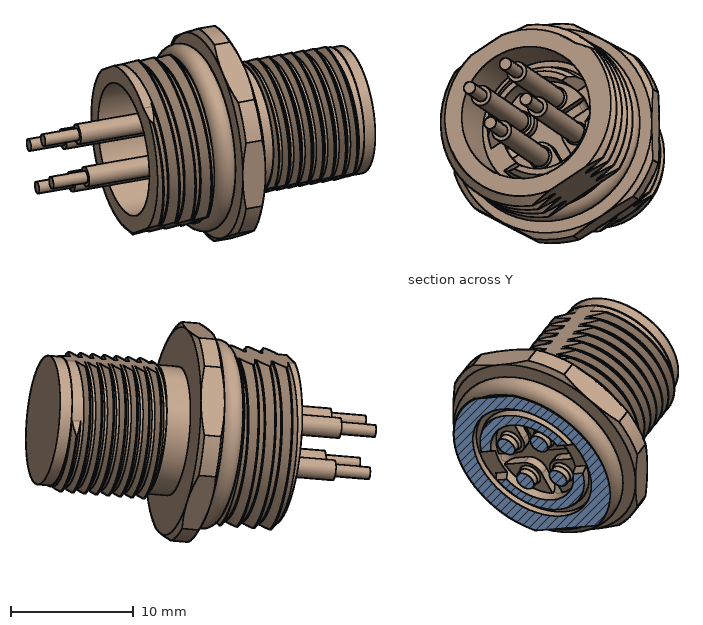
import cadquery as cq
import math


TIP_COLLAR_END = 1.0
FRONT_THREAD_END = 9.0
FLANGE_START = 11.0
FLANGE_END = 13.0
SEAL_END = 15.0
BODY_END = 20.0
INSULATION_END = 24.35
WIRE_END = 27.35
INSERT_FLOOR = 14.5

NECK_RADIUS = 5.275
FRONT_ROOT_RADIUS = 5.35
FRONT_CREST_RADIUS = 5.92
FRONT_PITCH = 1.0
FRONT_BASE_WIDTH = 0.76
FRONT_CREST_Z = 0.85
FRONT_FLAT_DISTANCE = 5.28
FRONT_LEAD_IN_ANGLE = 177
FRONT_LEAD_IN_DISTANCE = 5.04
FRONT_START_ANGLE = 190
FRONT_END_BEVEL = 0.3

REAR_ROOT_RADIUS = 6.95
REAR_CREST_RADIUS = 7.65
REAR_PITCH = 25.4 / 18
REAR_BASE_WIDTH = 1.3
REAR_CREST_Z = 15.4
REAR_FLAT_DISTANCE = 6.78
REAR_LEAD_OUT_ANGLE = 69
REAR_LEAD_OUT_DISTANCE = 6.68
REAR_LEAD_OUT_LENGTH = 0.8
REAR_END_ANGLE = 72
REAR_TURNS = 4 + REAR_END_ANGLE / 360

CREST_WIDTH = 0.1
CREST_CLEARANCE = 0.01
ROOT_OVERLAP = 0.05
FLAT_ANGLE = 120

HEX_ACROSS_FLATS = 17.0
HEX_CORNER_RADIUS = 9.0
HEX_CHAMFER_ANGLE = 30
HEX_HALF_SECTOR = 30

SEAL_SECTION_RADIUS = (SEAL_END - FLANGE_END) / 2
SEAL_OUTER_RADIUS = 7.75

BORE_RADIUS = 5.5
RING_INNER_RADIUS = 3.83
RING_TOP_RADIUS = 4.32
RING_SHOULDER_RADIUS = 4.74
RING_BASE_RADIUS = 5.0
RING_HEIGHT = 1.6
RING_SHOULDER_HEIGHT = 1.1
NOTCH_HALF_WIDTH = 1.11
NOTCH_TOP_HALF_WIDTH = 2.05
NOTCH_ANGLE = 30
CROSS_WIDTH = 1.06
CROSS_DEPTH = 0.8
CROSS_RAMP_RADIUS = 0.799
DECK_RECESS = 0.3
DECK = INSERT_FLOOR - DECK_RECESS

WIRE_CIRCLE_RADIUS = 2.5
WIRE_ANGLES = (75, 165, 255, 345)
CONDUCTOR_RADIUS = 0.5
INSULATION_RADIUS = 0.83
COLLAR_RADIUS = 0.95
COLLAR_HEIGHT = 0.3


def cylinder(radius, start, end):
    return cq.Workplane("XY").workplane(offset=start).circle(radius).extrude(end - start)


def half_space(angle, distance, start, end):
    """Block filling everything beyond a plane that faces the given angle."""
    size = 4 * HEX_CORNER_RADIUS
    block = cq.Workplane("XY").box(size, size, end - start, centered=(False, True, False))
    return block.translate((distance, 0, start)).rotate((0, 0, 0), (0, 0, 1), angle)


def thread_ridge(root, crest, pitch, base_width, start_angle, start_z, height):
    """Right-handed helical ridge whose crest begins at start_angle and start_z."""
    foot = root - ROOT_OVERLAP
    slope = (base_width - CREST_WIDTH) / 2 / (crest - root)
    foot_half = base_width / 2 + slope * ROOT_OVERLAP
    section = [
        (foot, -foot_half),
        (crest, -CREST_WIDTH / 2),
        (crest, CREST_WIDTH / 2),
        (foot, foot_half),
    ]
    path = cq.Workplane(cq.Wire.makeHelix(pitch, height, root))
    ridge = cq.Workplane("XZ").polyline(section).close().sweep(path, isFrenet=True)
    return ridge.rotate((0, 0, 0), (0, 0, 1), start_angle).translate((0, 0, start_z))


def front_thread():
    """Threaded sleeve with two opposite flats and a bevelled last turn."""
    start_z = FRONT_CREST_Z + FRONT_PITCH * FRONT_START_ANGLE / 360
    height = FRONT_THREAD_END + FRONT_PITCH / 2 - start_z
    ridge = thread_ridge(FRONT_ROOT_RADIUS, FRONT_CREST_RADIUS, FRONT_PITCH, FRONT_BASE_WIDTH,
                         FRONT_START_ANGLE, start_z, height)
    lead_in = half_space(FRONT_LEAD_IN_ANGLE, FRONT_LEAD_IN_DISTANCE,
                         0, start_z + FRONT_PITCH / 2)
    band = cylinder(FRONT_CREST_RADIUS + CREST_CLEARANCE, TIP_COLLAR_END, FRONT_THREAD_END)
    band = band.faces(">Z").chamfer(FRONT_END_BEVEL, FRONT_CREST_RADIUS - FRONT_ROOT_RADIUS)
    core = cylinder(FRONT_ROOT_RADIUS, TIP_COLLAR_END, FRONT_THREAD_END)
    thread = core.union(ridge.cut(lead_in).intersect(band))
    for angle in (FLAT_ANGLE, FLAT_ANGLE + 180):
        thread = thread.cut(half_space(angle, FRONT_FLAT_DISTANCE, 0, FRONT_THREAD_END))
    return thread


def rear_thread():
    """Rear body with two opposite flats and the plain neck under the seal ring."""
    start_z = REAR_CREST_Z - REAR_PITCH
    ridge = thread_ridge(REAR_ROOT_RADIUS, REAR_CREST_RADIUS, REAR_PITCH, REAR_BASE_WIDTH,
                         0, start_z, REAR_TURNS * REAR_PITCH)
    lead_out = half_space(REAR_LEAD_OUT_ANGLE, REAR_LEAD_OUT_DISTANCE,
                          BODY_END - REAR_LEAD_OUT_LENGTH, BODY_END + REAR_PITCH)
    band = cylinder(REAR_CREST_RADIUS + CREST_CLEARANCE, SEAL_END, BODY_END)
    core = cylinder(REAR_ROOT_RADIUS, FLANGE_END, BODY_END)
    thread = core.union(ridge.cut(lead_out).intersect(band))
    for angle in (FLAT_ANGLE, FLAT_ANGLE + 180):
        thread = thread.cut(half_space(angle, REAR_FLAT_DISTANCE, SEAL_END, BODY_END))
    return thread


def flange():
    """Hexagon with its corners rounded and chamfered on both faces."""
    hexagon_diameter = HEX_ACROSS_FLATS / math.cos(math.radians(HEX_HALF_SECTOR))
    thickness = FLANGE_END - FLANGE_START
    hexagon = cq.Workplane("XY").workplane(offset=FLANGE_START)
    hexagon = hexagon.polygon(6, hexagon_diameter).extrude(thickness)
    hexagon = hexagon.rotate((0, 0, 0), (0, 0, 1), HEX_HALF_SECTOR)
    chamfer_width = HEX_CORNER_RADIUS - HEX_ACROSS_FLATS / 2
    chamfer_height = chamfer_width * math.tan(math.radians(HEX_CHAMFER_ANGLE))
    blank = cylinder(HEX_CORNER_RADIUS, FLANGE_START, FLANGE_END)
    blank = blank.faces("<Z or >Z").chamfer(chamfer_height, chamfer_width)
    return hexagon.intersect(blank)


def seal_ring():
    """Half-round ring whose straight inner side is buried in the body."""
    centre_radius = SEAL_OUTER_RADIUS - SEAL_SECTION_RADIUS
    section = (
        cq.Workplane("XZ")
        .moveTo(-centre_radius, FLANGE_END)
        .threePointArc((-SEAL_OUTER_RADIUS, FLANGE_END + SEAL_SECTION_RADIUS),
                       (-centre_radius, SEAL_END))
        .close()
    )
    return section.revolve(360, (0, 0), (0, 1))


def insert_ring():
    """Raised ring on the cavity floor, parted by two flared notches."""
    ring = (
        cq.Workplane("XZ")
        .moveTo(RING_INNER_RADIUS, DECK)
        .lineTo(RING_BASE_RADIUS, DECK)
        .lineTo(RING_BASE_RADIUS, INSERT_FLOOR)
        .lineTo(RING_SHOULDER_RADIUS, INSERT_FLOOR + RING_SHOULDER_HEIGHT)
        .lineTo(RING_TOP_RADIUS, INSERT_FLOOR + RING_HEIGHT)
        .lineTo(RING_INNER_RADIUS, INSERT_FLOOR + RING_HEIGHT)
        .close()
        .revolve(360, (0, 0), (0, 1))
    )
    notch = (
        cq.Workplane("YZ")
        .moveTo(-NOTCH_HALF_WIDTH, INSERT_FLOOR)
        .lineTo(NOTCH_HALF_WIDTH, INSERT_FLOOR)
        .lineTo(NOTCH_TOP_HALF_WIDTH, INSERT_FLOOR + RING_HEIGHT)
        .lineTo(-NOTCH_TOP_HALF_WIDTH, INSERT_FLOOR + RING_HEIGHT)
        .close()
        .extrude(BORE_RADIUS, both=True)
        .rotate((0, 0, 0), (0, 0, 1), NOTCH_ANGLE)
    )
    return ring.cut(notch)


def cross_channel():
    """Cross-shaped channel with rounded inner corners and arms that ramp up at their ends."""
    corner_radius = WIRE_CIRCLE_RADIUS / math.sqrt(2) - CROSS_WIDTH / 2
    arm_length = 2 * RING_INNER_RADIUS
    bottom = DECK - CROSS_DEPTH
    arm = cq.Workplane("XY").box(arm_length, CROSS_WIDTH, CROSS_DEPTH, centered=(True, True, False))
    other_arm = arm.rotate((0, 0, 0), (0, 0, 1), 90)
    inner_corners = cq.selectors.BoxSelector(
        (-CROSS_WIDTH, -CROSS_WIDTH, 0), (CROSS_WIDTH, CROSS_WIDTH, CROSS_DEPTH))
    cross = arm.union(other_arm).edges("|Z").edges(inner_corners).fillet(corner_radius)
    ramps = cross.faces("<X or >X or <Y or >Y").edges("<Z").fillet(CROSS_RAMP_RADIUS)
    channel = ramps.rotate((0, 0, 0), (0, 0, 1), NOTCH_ANGLE).translate((0, 0, bottom))
    return channel.intersect(cylinder(RING_INNER_RADIUS, bottom, DECK))


def wire(angle):
    """Insulated wire with a tapered collar at the deck and a bare conductor end."""
    x = WIRE_CIRCLE_RADIUS * math.cos(math.radians(angle))
    y = WIRE_CIRCLE_RADIUS * math.sin(math.radians(angle))
    insulation = cylinder(INSULATION_RADIUS, DECK, INSULATION_END)
    conductor = cylinder(CONDUCTOR_RADIUS, INSULATION_END, WIRE_END)
    collar = cq.Workplane(cq.Solid.makeCone(COLLAR_RADIUS, INSULATION_RADIUS, COLLAR_HEIGHT))
    collar = collar.translate((0, 0, DECK))
    return insulation.union(conductor).union(collar).translate((x, y, 0))


connector = cylinder(NECK_RADIUS, 0, FLANGE_START)
connector = connector.union(front_thread())
connector = connector.union(flange())
connector = connector.union(rear_thread())
connector = connector.union(seal_ring())
connector = connector.cut(cylinder(BORE_RADIUS, INSERT_FLOOR, BODY_END))
connector = connector.cut(cylinder(RING_INNER_RADIUS, DECK, INSERT_FLOOR))
connector = connector.union(insert_ring())
connector = connector.cut(cross_channel())
for wire_angle in WIRE_ANGLES:
    connector = connector.union(wire(wire_angle))

result = connector.rotate((0, 0, 0), (1, 0, 0), 90).translate((0, FLANGE_END, 0))